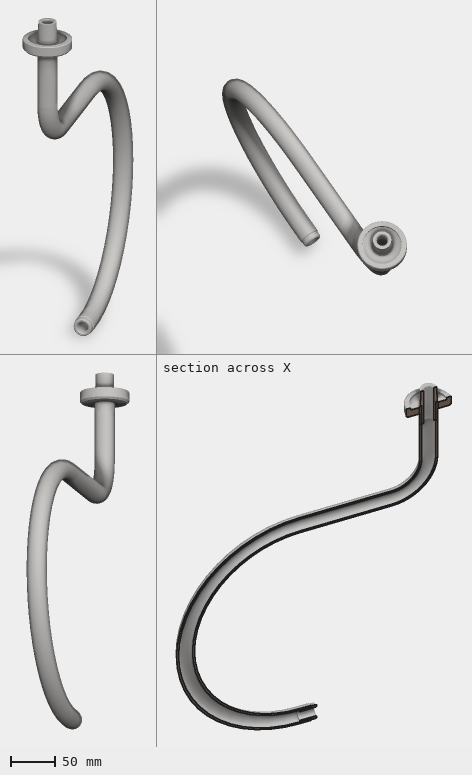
import cadquery as cq

pipe_radius = 11.5
bore_radius = 8.5
bend_radius = 45.2
hook_radius = 141.0
hook_y = 159.5
hook_end_z = pipe_radius
run_z = hook_end_z + 2 * hook_radius
pipe_top_z = 390.0

total_height = 439.0
insert_bore_radius = 6.0
insert_mouth_radius = 7.5
insert_mouth_depth = 1.5
upper_sleeve_top_z = 417.0
nipple_tip_radius = 10.3
nipple_base_radius = 10.75
sleeve_chamfer = 1.0
lower_sleeve_length = 14.5
nozzle_length = 6.5
nozzle_radius = 10.5
nozzle_chamfer = 1.5

flange_radius = 27.9
flange_bottom_z = 405.5
flange_top_z = 419.0
hole_chamfer = 1.5
recess_radius = 22.0
recess_depth = 3.0
flange_bottom_chamfer = 2.0
flange_top_chamfer = 1.0


def revolve_profile(points):
    """Revolve (radius, height) points about the vertical axis."""
    return cq.Workplane("XZ").polyline(points).close().revolve(360, (0, 0, 0), (0, 1, 0))


def make_sleeve(length):
    """Tube section continuing the pipe wall, bevelled at its outer end."""
    return revolve_profile([
        (bore_radius, 0),
        (pipe_radius, 0),
        (pipe_radius, length - sleeve_chamfer),
        (pipe_radius - sleeve_chamfer, length),
        (bore_radius, length),
    ])


def make_insert(plug_depth, shoulder_radius, rim_points):
    """Hollow insert: a plug in the sleeve bore, and an outer part from height 0 up to the rim."""
    rim_z = rim_points[-1][1]
    return revolve_profile([
        (insert_bore_radius, -plug_depth),
        (bore_radius, -plug_depth),
        (bore_radius, 0),
        (shoulder_radius, 0),
        *rim_points,
        (insert_mouth_radius, rim_z),
        (insert_bore_radius, rim_z - insert_mouth_depth),
    ])


def place_at_hook_end(body, y):
    """Turn a body from +Z to -Y and move its base to the hook end."""
    return body.rotate((0, 0, 0), (1, 0, 0), 90).translate((0, y, hook_end_z))


def make_pipe():
    path = (
        cq.Workplane("YZ")
        .moveTo(0, pipe_top_z)
        .lineTo(0, run_z + bend_radius)
        .radiusArc((bend_radius, run_z), -bend_radius)
        .lineTo(hook_y, run_z)
        .threePointArc((hook_y + hook_radius, run_z - hook_radius), (hook_y, hook_end_z))
    )
    section = cq.Workplane("XY", origin=(0, 0, pipe_top_z)).circle(pipe_radius).circle(bore_radius)
    return section.sweep(path)


def make_flange():
    """Recessed disc that fits closely round the upper sleeve."""
    floor_z = flange_top_z - recess_depth
    return revolve_profile([
        (pipe_radius, flange_bottom_z),
        (flange_radius - flange_bottom_chamfer, flange_bottom_z),
        (flange_radius, flange_bottom_z + flange_bottom_chamfer),
        (flange_radius, flange_top_z - flange_top_chamfer),
        (flange_radius - flange_top_chamfer, flange_top_z),
        (recess_radius, flange_top_z),
        (recess_radius, floor_z),
        (pipe_radius + hole_chamfer, floor_z),
        (pipe_radius, floor_z - hole_chamfer),
    ])


pipe = make_pipe()
flange = make_flange()

upper_sleeve_length = upper_sleeve_top_z - pipe_top_z
upper_sleeve = make_sleeve(upper_sleeve_length).translate((0, 0, pipe_top_z))
nipple_height = total_height - upper_sleeve_top_z
nipple = make_insert(
    upper_sleeve_length, nipple_base_radius, [(nipple_tip_radius, nipple_height)]
).translate((0, 0, upper_sleeve_top_z))

lower_sleeve = place_at_hook_end(make_sleeve(lower_sleeve_length), hook_y)
nozzle_rim = [
    (nozzle_radius, nozzle_length - nozzle_chamfer),
    (nozzle_radius - nozzle_chamfer, nozzle_length),
]
nozzle = place_at_hook_end(
    make_insert(lower_sleeve_length, nozzle_radius, nozzle_rim), hook_y - lower_sleeve_length
)

result = cq.Compound.makeCompound([
    pipe.val(),
    flange.val(),
    upper_sleeve.val(),
    nipple.val(),
    lower_sleeve.val(),
    nozzle.val(),
])